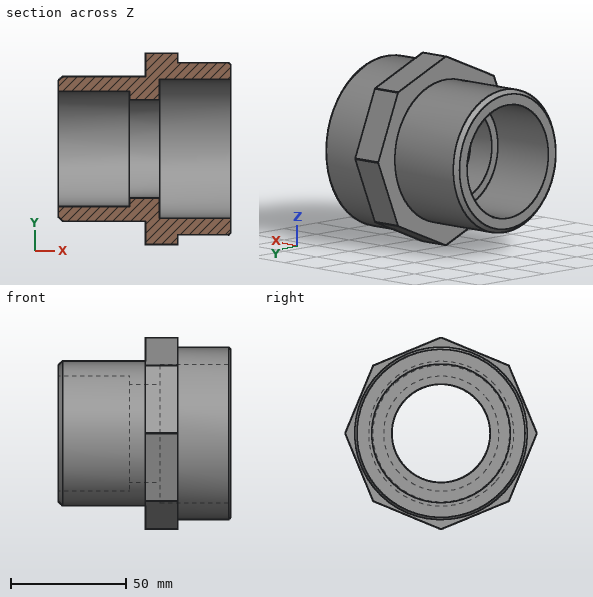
import cadquery as cq

total_length = 75.0
collar_start = 37.9
collar_width = 14.15
collar_end = collar_start + collar_width

spigot_diameter = 63.0
socket_diameter = 75.0
collar_diameter = 83.3
collar_sharp_corners = 83.4
collar_sides = 8

spigot_chamfer_length = 2.0
spigot_chamfer_depth = 1.8
socket_chamfer = 1.0

spigot_bore_diameter = 50.0
spigot_bore_depth = 31.0
socket_bore_diameter = 60.3
socket_bore_depth = spigot_bore_depth
through_bore_diameter = 42.6


def cylinder(diameter, start, end):
    """Solid cylinder on the X axis between two X positions."""
    return cq.Workplane("YZ").workplane(offset=start).circle(diameter / 2).extrude(end - start)


def make_spigot():
    """Plain pipe end with a lead-in chamfer at X = 0."""
    radius = spigot_diameter / 2
    profile = [
        (0, 0),
        (0, radius - spigot_chamfer_depth),
        (spigot_chamfer_length, radius),
        (collar_start, radius),
        (collar_start, 0),
    ]
    return cq.Workplane("XY").polyline(profile).close().revolve(360, (0, 0), (1, 0))


def make_collar():
    """Octagonal wrench collar, its corners on the Y and Z axes slightly blunted by a cylinder."""
    octagon = (
        cq.Workplane("YZ")
        .workplane(offset=collar_start)
        .polygon(collar_sides, collar_sharp_corners)
        .extrude(collar_width)
    )
    return octagon.intersect(cylinder(collar_diameter, collar_start, collar_end))


def make_socket():
    """Larger round end with a small chamfer on its outer rim."""
    return cylinder(socket_diameter, collar_end, total_length).faces(">X").edges().chamfer(socket_chamfer)


body = make_spigot().union(make_collar()).union(make_socket())
spigot_bore = cylinder(spigot_bore_diameter, 0, spigot_bore_depth)
through_bore = cylinder(through_bore_diameter, 0, total_length)
socket_bore = cylinder(socket_bore_diameter, total_length - socket_bore_depth, total_length)
result = body.cut(spigot_bore).cut(through_bore).cut(socket_bore)